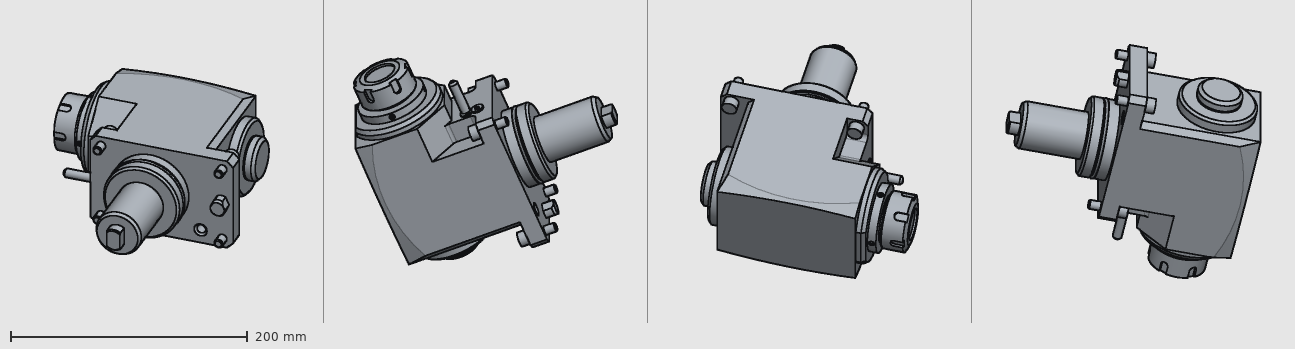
import cadquery as cq
import math


overall_length = 208.0

half_height = 85.0 / 2
flange_left, flange_right = -54.7, 74.3
flange_thickness = 15.2
flange_left_corner, flange_right_corner = 4.8, 5.5
housing_left, housing_right = -70.7, 50.1
housing_back = 118.4
housing_edge_chamfer = 5.2
web_left = -36.5
bulge_front = 37.0
bulge_chamfer = 25.0
rib_half_height = 22.3
rib_fillet = 4.8
back_cone_centre = (-15.2, -34.1)
back_cone_radius = 148.0
back_cone_angle = 16.0

pilot_radius, pilot_length, pilot_chamfer = 34.3, 24.1, 2.0
groove_start, groove_width, groove_radius = 9.4, 4.2, 32.0
ring_radius, ring_section = 33.3, 1.5
shank_radius, shank_end, shank_chamfer_length, shank_chamfer = 20.4, 79.9, 3.3, 1.9
tang_radius, tang_width, tang_tip = 10.0, 12.0, overall_length - housing_back
tang_chamfer = 1.0

spindle_y = 79.9
cover_left, cover_radius, cover_flat = -79.0, 41.2, 36.6
cover_bevel_length, cover_bevel = 3.7, 2.3
collar_left, collar_radius = -86.5, 29.7
neck_radius = 20.4
set_screw_x, set_screw_radius, set_screw_sink = -82.8, 2.5, 1.0
set_screw_socket_radius, set_screw_depth = 1.5, 3.1
set_screw_count = 4
cap_right, cap_radius, cap_chamfer = 60.1, 34.0, 2.3
stub_right, stub_radius, stub_chamfer = 70.3, 19.3, 3.0
stub_neck_radius, stub_neck_width = 19.0, 1.2

nut_front, nut_back = -111.0, -88.6
nut_radius, nut_face_radius = 25.0, 18.0
nut_face_depth, nut_back_chamfer = 2.5, 1.2
nut_bore_radius, nose_recess = 13.7, 2.0
slot_count, slot_width, slot_depth, slot_end = 6, 6.9, 2.7, -98.0

screw_xs, screw_z = (-45.0, 64.7), 34.1
screw_radius, screw_reach, screw_chamfer = 4.0, 10.2, 1.0
head_radius, head_length = 6.5, 8.1
diamond_x, diamond_half_width, diamond_radius = 63.9, 6.9, 8.0
diamond_tip_width, diamond_length = 6.7, 10.2
diamond_chamfer_length, diamond_chamfer = 2.5, 1.7
port_x, port_z, port_radius, port_sink_radius, port_depth = 45.0, -30.0, 4.0, 5.8, 16.6
drill_point = 2.3

pin_y, pin_z, pin_radius, pin_left, pin_chamfer = 23.3, -14.1, 4.0, -87.4, 2.0
pin_foot_radius, pin_foot_height, pin_foot_rim = 5.6, 2.0, 1.0
plug_y, plug_radius, plug_height = 13.3, 5.5, 1.5
plug_socket_radius, plug_socket_depth = 1.9, 1.0


def turned_x(profile, y=0.0, z=0.0):
    """Solid of revolution about a line along X; profile points are (x, radius)."""
    outline = cq.Workplane("XY", origin=(0, y, z)).polyline(profile).close()
    return outline.revolve(360, (0, 0, 0), (1, 0, 0))


def turned_y(profile, x=0.0, z=0.0):
    """Solid of revolution about a line along Y; profile points are (radius, y)."""
    outline = cq.Workplane("XY", origin=(x, 0, z)).polyline(profile).close()
    return outline.revolve(360, (0, 0, 0), (0, 1, 0))


def block(x0, x1, y0, y1, half_z):
    """Box between the given X and Y limits, centred on Z = 0."""
    centre = ((x0 + x1) / 2, (y0 + y1) / 2, 0)
    return cq.Workplane("XY").box(x1 - x0, y1 - y0, 2 * half_z).translate(centre)


def make_rib():
    """Narrow web joining flange and bulge, blended into both by fillets on its two sides."""
    half_turn = math.radians(22.5)
    chamfer_y = bulge_front + bulge_chamfer - (half_height - rib_half_height)
    tangent = rib_fillet * math.tan(half_turn)
    diagonal = math.cos(math.radians(45))

    def half_outline(side):
        flange_centre_y = flange_thickness + rib_fillet
        bulge_centre_y = chamfer_y - tangent
        centre_z = rib_half_height + rib_fillet
        bulge_touch = (chamfer_y + tangent * diagonal, side * (rib_half_height + tangent * diagonal))
        bulge_mid = (
            bulge_centre_y + rib_fillet * math.sin(half_turn),
            side * (centre_z - rib_fillet * math.cos(half_turn)),
        )
        flange_mid = (flange_centre_y - rib_fillet * diagonal, side * (centre_z - rib_fillet * diagonal))
        return (
            cq.Workplane("YZ", origin=(flange_left, 0, 0))
            .moveTo(flange_thickness, 0)
            .lineTo(flange_thickness, side * centre_z)
            .threePointArc(flange_mid, (flange_centre_y, side * rib_half_height))
            .lineTo(bulge_centre_y, side * rib_half_height)
            .threePointArc(bulge_mid, bulge_touch)
            .lineTo(bulge_touch[0], 0)
            .close()
            .extrude(web_left - flange_left)
        )

    return half_outline(1).union(half_outline(-1))


def make_back_cone():
    """Double cone about a vertical axis that slopes the back of the top and bottom faces."""
    slope = math.tan(math.radians(back_cone_angle))
    rim_radius = back_cone_radius + half_height / slope
    outline = cq.Workplane("XZ").polyline(
        [(0, -half_height), (back_cone_radius, -half_height), (rim_radius, 0),
         (back_cone_radius, half_height), (0, half_height)]
    ).close()
    cone = outline.revolve(360, (0, 0, 0), (0, 1, 0))
    return cone.translate((*back_cone_centre, 0))


def make_gearbox():
    """Flange, main block, spindle bulge and rib."""
    flange = block(flange_left, flange_right, 0, flange_thickness, half_height)
    flange = flange.edges("|Y and <X").chamfer(flange_left_corner)
    flange = flange.edges("|Y and >X").chamfer(flange_right_corner)
    main = block(web_left, housing_right, 0, housing_back, half_height)
    main = main.edges("|Y and >X").chamfer(housing_edge_chamfer)
    bulge = block(housing_left, web_left, bulge_front, housing_back, half_height)
    bulge = bulge.edges("|X and <Y").chamfer(bulge_chamfer)
    upper = main.union(bulge).intersect(make_back_cone())
    return upper.union(flange).union(make_rib())


def make_shank():
    """Pilot with its sealing ring, cylindrical shank and flat drive tang."""
    groove_end = groove_start + groove_width
    body = turned_y([
        (0, 0), (pilot_radius, 0), (pilot_radius, -groove_start), (groove_radius, -groove_start),
        (groove_radius, -groove_end), (pilot_radius, -groove_end),
        (pilot_radius, pilot_chamfer - pilot_length), (pilot_radius - pilot_chamfer, -pilot_length),
        (shank_radius, -pilot_length), (shank_radius, shank_chamfer_length - shank_end),
        (shank_radius - shank_chamfer, -shank_end), (0, -shank_end),
    ])
    ring = (
        cq.Workplane("XY").center(ring_radius, -groove_start - ring_section).circle(ring_section)
        .revolve(360, (-ring_radius, 0, 0), (-ring_radius, 1, 0))
    )
    tang = turned_y([
        (0, -shank_end), (tang_radius, -shank_end), (tang_radius, tang_chamfer - tang_tip),
        (tang_radius - tang_chamfer, -tang_tip), (0, -tang_tip),
    ]).intersect(block(-tang_width / 2, tang_width / 2, -tang_tip, -shank_end, tang_radius))
    return body.union(ring).union(tang)


def make_spindle_cover():
    """Bevelled round cover with a flat towards the housing back."""
    cover = turned_x([
        (housing_left, 0), (housing_left, cover_radius), (cover_left + cover_bevel_length, cover_radius),
        (cover_left, cover_radius - cover_bevel), (cover_left, 0),
    ], spindle_y)
    flat_y = spindle_y + cover_flat
    keep = (
        cq.Workplane("XY", origin=(0, 0, -cover_radius))
        .polyline([
            (housing_left, 0), (housing_left, flat_y), (cover_left + cover_bevel_length, flat_y),
            (cover_left, flat_y - cover_bevel), (cover_left, 0),
        ])
        .close().extrude(2 * cover_radius)
    )
    return cover.intersect(keep)


def make_collar():
    """Collar with radial set screws, neck, and the nose that sits in the nut."""
    nose_front = nut_front + nose_recess
    collar = turned_x([
        (cover_left, 0), (cover_left, collar_radius), (collar_left, collar_radius),
        (collar_left, neck_radius), (nut_back, neck_radius), (nut_back, nut_bore_radius),
        (nose_front, nut_bore_radius), (nose_front, 0),
    ], spindle_y)
    set_screw_hole = (
        cq.Workplane("XZ").polyline([
            (0, 0), (set_screw_radius, 0), (set_screw_socket_radius, -set_screw_sink),
            (set_screw_socket_radius, -set_screw_depth), (0, -set_screw_depth),
        ])
        .close().revolve(360, (0, 0, 0), (0, 1, 0))
        .translate((set_screw_x, spindle_y, collar_radius))
    )
    for index in range(set_screw_count):
        hole = set_screw_hole.rotate((0, spindle_y, 0), (1, spindle_y, 0), 360 / set_screw_count * index)
        collar = collar.cut(hole)
    return collar


def make_end_cap():
    """Bearing cap and stub opposite the nut."""
    return turned_x([
        (housing_right, 0), (housing_right, cap_radius), (cap_right - cap_chamfer, cap_radius),
        (cap_right, cap_radius - cap_chamfer), (cap_right, stub_neck_radius),
        (cap_right + stub_neck_width, stub_neck_radius), (cap_right + stub_neck_width, stub_radius),
        (stub_right - stub_chamfer, stub_radius), (stub_right, stub_radius - stub_chamfer), (stub_right, 0),
    ], spindle_y)


def make_flange_screw(x, z):
    """Mounting screw: head behind the flange, chamfered tip in front of it."""
    head_end = flange_thickness + head_length
    return turned_y([
        (0, -screw_reach), (screw_radius - screw_chamfer, -screw_reach),
        (screw_radius, screw_chamfer - screw_reach), (screw_radius, flange_thickness),
        (head_radius, flange_thickness), (head_radius, head_end), (0, head_end),
    ], x, z)


def make_diamond_pin():
    """Locating pin relieved to a diamond, leaving narrow round lands at top and bottom."""
    tip = diamond_tip_width / 2
    points = [
        (-diamond_half_width, 0), (-tip, diamond_radius), (tip, diamond_radius),
        (diamond_half_width, 0), (tip, -diamond_radius), (-tip, -diamond_radius),
    ]
    diamond = cq.Workplane("XZ").polyline(points).close().extrude(diamond_length)
    round_pin = turned_y([
        (0, 0), (diamond_radius, 0), (diamond_radius, diamond_chamfer_length - diamond_length),
        (diamond_radius - diamond_chamfer, -diamond_length), (0, -diamond_length),
    ])
    return diamond.intersect(round_pin).translate((diamond_x, 0, 0))


def make_port():
    """Countersunk blind hole in the flange face, used as a cutter."""
    sink = port_sink_radius - port_radius
    return turned_y([
        (0, 0), (port_sink_radius, 0), (port_radius, sink),
        (port_radius, port_depth), (0, port_depth + drill_point),
    ], port_x, port_z)


def make_side_pin():
    """Chamfered pin with a conical foot on the left face of the flange block."""
    foot_left = flange_left - pin_foot_height
    return turned_x([
        (flange_left, 0), (flange_left, pin_foot_radius), (flange_left - pin_foot_rim, pin_foot_radius),
        (foot_left, pin_radius),
        (pin_left + pin_chamfer, pin_radius), (pin_left, pin_radius - pin_chamfer), (pin_left, 0),
    ], pin_y, pin_z)


def make_plug():
    """Round plug beside the side pin with a small socket in its face."""
    plug_left = flange_left - plug_height
    socket_floor = plug_left + plug_socket_depth
    return turned_x([
        (flange_left, 0), (flange_left, plug_radius), (plug_left, plug_radius),
        (plug_left, plug_socket_radius), (socket_floor, plug_socket_radius), (socket_floor, 0),
    ], plug_y, pin_z)


def make_housing():
    """Everything except the collet nut, as one solid."""
    housing = make_gearbox().cut(make_port())
    parts = [
        make_shank(), make_spindle_cover(), make_collar(), make_end_cap(),
        make_diamond_pin(), make_side_pin(), make_plug(),
    ]
    parts += [make_flange_screw(x, side * screw_z) for x in screw_xs for side in (1, -1)]
    for part in parts:
        housing = housing.union(part)
    return housing


def make_collet_nut():
    """Collet nut with a conical front and round-ended spanner slots around it."""
    nut = turned_x([
        (nut_front, nut_bore_radius), (nut_front, nut_face_radius), (nut_front + nut_face_depth, nut_radius),
        (nut_back - nut_back_chamfer, nut_radius), (nut_back, nut_radius - nut_back_chamfer),
        (nut_back, nut_bore_radius),
    ], spindle_y)
    slot_radius = slot_width / 2
    slot_start = slot_end - slot_radius
    slot = (
        cq.Workplane("XZ")
        .moveTo(nut_front, -slot_radius).lineTo(slot_start, -slot_radius)
        .threePointArc((slot_end, 0), (slot_start, slot_radius)).lineTo(nut_front, slot_radius)
        .close().extrude(nut_radius)
        .translate((0, spindle_y - nut_radius + slot_depth, 0))
    )
    for index in range(slot_count):
        nut = nut.cut(slot.rotate((0, spindle_y, 0), (1, spindle_y, 0), 360 / slot_count * index))
    return nut


housing = make_housing()
collet_nut = make_collet_nut()
result = cq.Compound.makeCompound([housing.val(), collet_nut.val()])